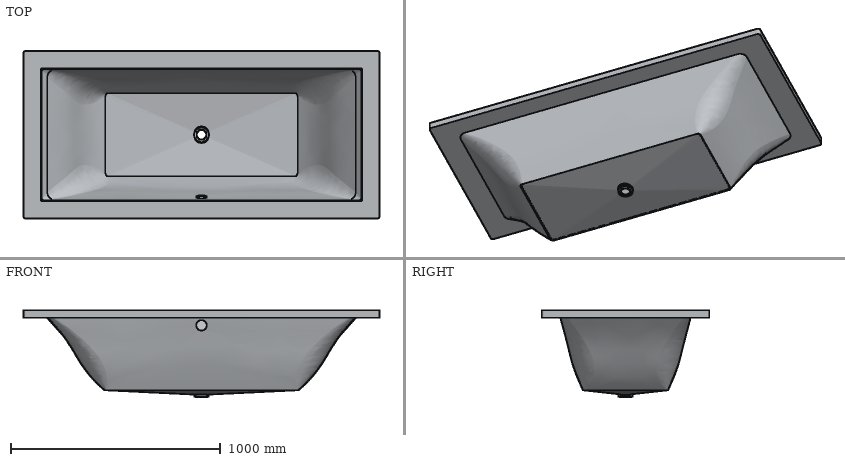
import cadquery as cq

RIM_LENGTH = 1700.0
RIM_WIDTH = 800.0
RIM_THICKNESS = 37.0
RIM_CORNER_RADIUS = 12.0

WALL = 5.0
WALL_SECTIONS = [
    (463.0, 203.0, 14.0),
    (538.0, 236.0, 85.0),
    (591.0, 261.0, 105.0),
    (637.0, 279.0, 85.0),
    (699.0, 300.0, 55.0),
    (768.0, 317.0, 10.0),
]
FLOOR_Z = -382.0
FLOOR_HALF_LENGTH, FLOOR_HALF_WIDTH, _ = WALL_SECTIONS[0]

FLOOR_FALL = 21.0
FLOOR_TAPER = 0.07
FLAT_CUT_LENGTH = 7.0
FLAT_CUT_WIDTH = 17.0
FLAT_TAPER = 0.3

DRAIN_BOTTOM_Z = -415.0
DRAIN_MOUTH_DIAMETER = 82.0
DRAIN_MOUTH_Z = -394.0
DRAIN_HOLE_DIAMETER = 45.0
DRAIN_HOLE_DEPTH = 7.0
COLLAR_DIAMETER = 70.0
COLLAR_CHAMFER_HEIGHT = 4.0
COLLAR_CHAMFER_WIDTH = 9.0
OVERFLOW_DIAMETER = 50.0
OVERFLOW_Z = -72.0


def wall_section(z, half_length, half_width, radius):
    """Rounded rectangle on the plane at height z."""
    outline = cq.Sketch().rect(2 * half_length, 2 * half_width).vertices().fillet(radius)
    return outline.moved(cq.Location(cq.Vector(0, 0, z)))


def floor_outline(z, half_length, half_width, cut_length, cut_width):
    """Rectangle with its corners cut off, on the plane at height z."""
    corner = [
        (half_length, half_width - cut_width),
        (half_length - cut_length, half_width),
    ]
    left_back = [(-x, y) for x, y in reversed(corner)]
    left_front = [(-x, -y) for x, y in corner]
    right_front = [(x, -y) for x, y in reversed(corner)]
    points = corner + left_back + left_front + right_front
    return cq.Wire.makePolygon([cq.Vector(x, y, z) for x, y in points], close=True)


def tub_form(inset):
    """Solid bounded by the tub surface, moved inward by inset."""
    floor_z = FLOOR_Z + inset
    section_step = -floor_z / (len(WALL_SECTIONS) - 1)
    sections = [
        wall_section(floor_z + level * section_step, half_length - inset, half_width - inset, radius)
        for level, (half_length, half_width, radius) in enumerate(WALL_SECTIONS)
    ]
    walls = cq.Workplane().placeSketch(*sections).loft()

    half_length = FLOOR_HALF_LENGTH - inset
    half_width = FLOOR_HALF_WIDTH - inset
    upper = floor_outline(floor_z, half_length, half_width, FLAT_CUT_LENGTH, FLAT_CUT_WIDTH)
    lower = floor_outline(
        floor_z - FLOOR_FALL,
        half_length * FLOOR_TAPER,
        half_width * FLOOR_TAPER,
        FLAT_CUT_LENGTH * FLAT_TAPER,
        FLAT_CUT_WIDTH * FLAT_TAPER,
    )
    floor = cq.Solid.makeLoft([upper, lower], True)
    return walls.union(cq.Workplane(floor))


def make_rim():
    frame = (
        cq.Workplane()
        .box(RIM_LENGTH, RIM_WIDTH, RIM_THICKNESS, centered=(True, True, False))
        .translate((0, 0, -RIM_THICKNESS))
        .edges("|Z")
        .fillet(RIM_CORNER_RADIUS)
    )
    return frame.cut(tub_form(0))


def drain_collar():
    """Short cylinder under the floor, tapered at its lower edge."""
    height = FLOOR_Z - DRAIN_BOTTOM_Z
    radius = COLLAR_DIAMETER / 2
    profile = [
        (0, 0),
        (radius - COLLAR_CHAMFER_WIDTH, 0),
        (radius, COLLAR_CHAMFER_HEIGHT),
        (radius, height),
        (0, height),
    ]
    collar = cq.Workplane("XZ").polyline(profile).close().revolve(360, (0, 0), (0, 1))
    return collar.translate((0, 0, DRAIN_BOTTOM_Z))


def drain_funnel():
    """Cone that narrows from its mouth in the sloping floor to a straight drain hole."""
    hole_radius = DRAIN_HOLE_DIAMETER / 2
    mouth_height = DRAIN_MOUTH_Z - DRAIN_BOTTOM_Z
    profile = [
        (0, 0),
        (hole_radius, 0),
        (hole_radius, DRAIN_HOLE_DEPTH),
        (DRAIN_MOUTH_DIAMETER / 2, mouth_height),
        (0, mouth_height),
    ]
    funnel = cq.Workplane("XZ").polyline(profile).close().revolve(360, (0, 0), (0, 1))
    return funnel.translate((0, 0, DRAIN_BOTTOM_Z))


def overflow_hole():
    hole = cq.Workplane("XZ").center(0, OVERFLOW_Z).circle(OVERFLOW_DIAMETER / 2)
    return hole.extrude(RIM_WIDTH / 2)


def make_tub():
    shell = tub_form(0).union(drain_collar()).cut(tub_form(WALL))
    return shell.cut(drain_funnel()).cut(overflow_hole())


rim = make_rim()
tub = make_tub()
result = cq.Compound.makeCompound([rim.solids().val(), tub.solids().val()])